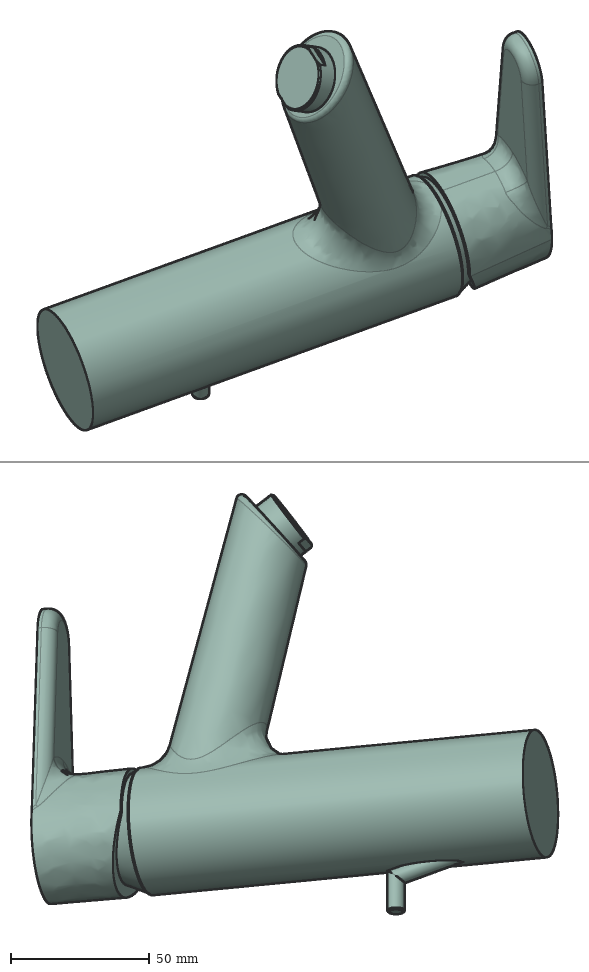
import cadquery as cq
import math

OVERALL_LENGTH = 186.0
BODY_DIAMETER = 46.5
BODY_RADIUS = BODY_DIAMETER / 2
BODY_LENGTH = 149.0
BODY_END_CHAMFER = 0.7

SPOUT_ROOT_Y = 129.7
SPOUT_TILT = 14.35
SPOUT_TAPER = 0.83
SPOUT_ROOT_RADIUS = 16.95
SPOUT_ROUGH_LENGTH = 150.0
SPOUT_FILLET = 11.0
MOUTH_Y = 100.3
MOUTH_Z = 112.15
MOUTH_ELEVATION = 39.6
MOUTH_FILLET = 2.0

AERATOR_END_Y = 93.3
AERATOR_END_Z = 114.2
AERATOR_ELEVATION = 34.5
AERATOR_DIAMETER = 24.0
AERATOR_LENGTH = 12.0
AERATOR_CHAMFER = 0.6
FLAT_SPACING = 22.0
FLAT_LENGTH = 3.2

COLLAR_LENGTH = 9.5
COLLAR_LARGE_RADIUS = 22.6
COLLAR_SLOPE = 0.46

HANDLE_FRONT_Y = 151.5
HANDLE_BACK_HALF_WIDTH = 20.0
RELIEF_ANGLE = 16.6
LEVER_TOP_Z = 88.5
LEVER_TIP_RADIUS = 12.0
LEVER_THICKNESS = 6.3
LEVER_FRONT_FILLET = 4.8
LEVER_ROOT_FILLET = 7.0

ROD_DIAMETER = 6.4
ROD_Y = 54.4
ROD_BOTTOM_Z = -40.1
ROD_BEND_Z = -26.7
ROD_ANGLE = 15.4
ROD_INNER_LENGTH = 30.0
ROD_CHAMFER = 0.6


def leaning_plane(y, z, elevation):
    """Plane at (0, y, z) whose normal points to -Y and is raised by `elevation` degrees."""
    angle = math.radians(elevation)
    return cq.Plane(origin=(0, y, z), xDir=(1, 0, 0), normal=(0, -math.cos(angle), math.sin(angle)))


def make_spout():
    root_plane = leaning_plane(SPOUT_ROOT_Y, 0, 90 - SPOUT_TILT)
    spout = cq.Workplane(root_plane).circle(SPOUT_ROOT_RADIUS).extrude(SPOUT_ROUGH_LENGTH, taper=SPOUT_TAPER)
    mouth_plane = leaning_plane(MOUTH_Y, MOUTH_Z, MOUTH_ELEVATION)
    beyond_mouth = cq.Workplane(mouth_plane).rect(BODY_DIAMETER, SPOUT_ROUGH_LENGTH)
    return spout.cut(beyond_mouth.extrude(SPOUT_ROUGH_LENGTH))


def make_body():
    rough_length = BODY_LENGTH + SPOUT_FILLET
    tube = cq.Workplane("XZ").circle(BODY_RADIUS).extrude(-rough_length)
    body = tube.union(make_spout())

    spout_root = cq.selectors.BoxSelector(
        (-BODY_RADIUS, SPOUT_ROOT_Y - 2 * SPOUT_ROOT_RADIUS, 0),
        (BODY_RADIUS, BODY_LENGTH, BODY_RADIUS + 1),
    )
    body = body.edges(spout_root).edges("not %CIRCLE").edges("not %LINE").fillet(SPOUT_FILLET)

    back_end = cq.Workplane("XZ", origin=(0, BODY_LENGTH, 0))
    body = body.cut(back_end.circle(BODY_DIAMETER).extrude(-2 * SPOUT_FILLET))
    body = body.faces(">Y").edges().chamfer(BODY_END_CHAMFER)
    mouth = cq.selectors.NearestToPointSelector((0, MOUTH_Y, MOUTH_Z))
    return body.faces(mouth).edges().fillet(MOUTH_FILLET)


def make_aerator():
    end_plane = leaning_plane(AERATOR_END_Y, AERATOR_END_Z, AERATOR_ELEVATION)
    radius = AERATOR_DIAMETER / 2
    end = cq.Workplane(end_plane)
    aerator = end.circle(radius).extrude(-AERATOR_LENGTH)
    outer_face = cq.selectors.DirectionMinMaxSelector(end_plane.zDir, True)
    aerator = aerator.faces(outer_face).chamfer(AERATOR_CHAMFER)
    for side in (-1, 1):
        flat = end.center(0, side * (FLAT_SPACING / 2 + radius / 2)).rect(AERATOR_DIAMETER, radius)
        aerator = aerator.cut(flat.extrude(-FLAT_LENGTH))
    return aerator


def make_collar():
    small_radius = COLLAR_LARGE_RADIUS - COLLAR_SLOPE * COLLAR_LENGTH
    end_y = BODY_LENGTH + COLLAR_LENGTH
    profile = [
        (0, BODY_LENGTH),
        (COLLAR_LARGE_RADIUS, BODY_LENGTH),
        (small_radius, end_y),
        (0, end_y),
    ]
    return cq.Workplane("XY").polyline(profile).close().revolve(360, (0, 0, 0), (0, 1, 0))


def make_lever():
    """Flat lever: straight sides tangent to a round tip, rising from the handle axis."""
    tip_z = LEVER_TOP_Z - LEVER_TIP_RADIUS
    half = HANDLE_BACK_HALF_WIDTH
    lean = math.atan2(half, tip_z) - math.asin(LEVER_TIP_RADIUS / math.hypot(half, tip_z))
    tangent_x = LEVER_TIP_RADIUS * math.cos(lean)
    tangent_z = tip_z + LEVER_TIP_RADIUS * math.sin(lean)
    outline = (
        cq.Workplane("XZ", origin=(0, OVERALL_LENGTH, 0))
        .moveTo(-half, 0)
        .lineTo(-tangent_x, tangent_z)
        .threePointArc((0, LEVER_TOP_Z), (tangent_x, tangent_z))
        .lineTo(half, 0)
        .close()
    )
    lever = outline.extrude(LEVER_THICKNESS)
    return lever.faces("<Y").edges("not(<Z)").fillet(LEVER_FRONT_FILLET)


def make_handle(collar):
    barrel = (
        cq.Workplane("XZ", origin=(0, OVERALL_LENGTH, 0))
        .ellipse(HANDLE_BACK_HALF_WIDTH, BODY_RADIUS)
        .workplane(offset=OVERALL_LENGTH - HANDLE_FRONT_Y)
        .circle(BODY_RADIUS)
        .loft(ruled=True)
    )
    handle = barrel.union(make_lever())

    lever_front_y = OVERALL_LENGTH - LEVER_THICKNESS
    lever_root = cq.selectors.BoxSelector(
        (-BODY_RADIUS, lever_front_y - 1, 1),
        (BODY_RADIUS, lever_front_y + LEVER_FRONT_FILLET, BODY_RADIUS + 1),
    )
    handle = handle.edges(lever_root).edges("not %LINE").fillet(LEVER_ROOT_FILLET)

    relief = (
        cq.Workplane("YZ", origin=(-BODY_DIAMETER, 0, 0))
        .moveTo(HANDLE_FRONT_Y, 0)
        .lineTo(HANDLE_FRONT_Y, -BODY_DIAMETER)
        .lineTo(HANDLE_FRONT_Y + BODY_DIAMETER * math.tan(math.radians(RELIEF_ANGLE)), -BODY_DIAMETER)
        .close()
        .extrude(2 * BODY_DIAMETER)
    )
    return handle.cut(relief).cut(collar)


def make_rod():
    angle = math.radians(ROD_ANGLE)
    path = (
        cq.Workplane("YZ")
        .moveTo(ROD_Y, ROD_BOTTOM_Z)
        .lineTo(ROD_Y, ROD_BEND_Z)
        .lineTo(ROD_Y - ROD_INNER_LENGTH * math.cos(angle), ROD_BEND_Z + ROD_INNER_LENGTH * math.sin(angle))
    )
    rod = (
        cq.Workplane("XY", origin=(0, ROD_Y, ROD_BOTTOM_Z))
        .circle(ROD_DIAMETER / 2)
        .sweep(path, transition="right")
    )
    return rod.faces("<Z").chamfer(ROD_CHAMFER)


aerator = make_aerator()
collar = make_collar()
handle = make_handle(collar)
rod = make_rod()
body = make_body().cut(aerator).cut(rod)

result = cq.Compound.makeCompound([body.val(), aerator.val(), collar.val(), handle.val(), rod.val()])